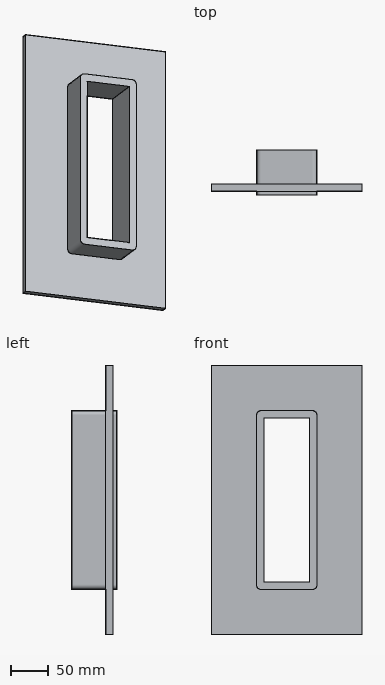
import cadquery as cq

plate_width = 200.5
plate_height = 358.0
plate_thickness = 10.0
flange_margin = 60.0
tube_depth = 60.0
tube_wall = 10.0
tube_corner_radius = 6.0
front_projection = 5.0

tube_width = plate_width - 2 * flange_margin
tube_height = plate_height - 2 * flange_margin
opening_width = tube_width - 2 * tube_wall
opening_height = tube_height - 2 * tube_wall

tube_front = -front_projection
tube_center = tube_front + tube_depth / 2


def box_along_y(width, depth, height, center_y):
    """Box centred on the Y axis in X and Z."""
    return cq.Workplane("XY").box(width, depth, height).translate((0, center_y, 0))


plate = box_along_y(plate_width, plate_thickness, plate_height, plate_thickness / 2)

tube = box_along_y(tube_width, tube_depth, tube_height, tube_center)
tube = tube.edges("|Y").fillet(tube_corner_radius)

opening = box_along_y(opening_width, tube_depth, opening_height, tube_center)

result = plate.union(tube).cut(opening)